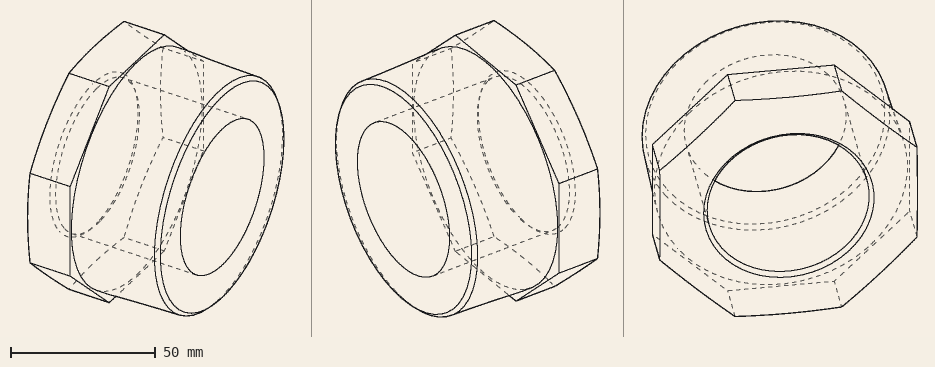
import cadquery as cq
import math

total_length = 51.5
octagon_length = 17.2
shoulder_length = 4.6

across_flats = 90.0
octagon_sides = 8
head_bevel_face_radius = 44.85
head_bevel_angle = 15.0

shoulder_radius = 88.46 / 2
taper_on_radius = 1 / 32
end_chamfer = 1.5

bore_radius = 56.66 / 2
countersink_radius = 59.6 / 2


def revolve_about_x(points):
    """Revolve a closed (x, radius) outline fully around the X axis."""
    return cq.Workplane("XY").polyline(points).close().revolve(360, (0, 0, 0), (1, 0, 0))


def octagonal_head():
    """Octagon with flats facing Y and Z, its front corners turned off by a shallow cone."""
    corner_radius = across_flats / 2 / math.cos(math.pi / octagon_sides)
    bevel_depth = (corner_radius - head_bevel_face_radius) * math.tan(math.radians(head_bevel_angle))
    octagon = (
        cq.Workplane("YZ")
        .transformed(rotate=(0, 0, 180 / octagon_sides))
        .polygon(octagon_sides, 2 * corner_radius)
        .extrude(octagon_length)
    )
    turned_envelope = revolve_about_x([
        (0, 0),
        (0, head_bevel_face_radius),
        (bevel_depth, corner_radius),
        (octagon_length, corner_radius),
        (octagon_length, 0),
    ])
    return octagon.intersect(turned_envelope)


def male_end():
    """Straight shoulder followed by the tapered thread envelope and its end chamfer."""
    taper_start = octagon_length + shoulder_length
    taper_end = total_length - end_chamfer
    taper_end_radius = shoulder_radius - (taper_end - taper_start) * taper_on_radius
    return revolve_about_x([
        (octagon_length, 0),
        (octagon_length, shoulder_radius),
        (taper_start, shoulder_radius),
        (taper_end, taper_end_radius),
        (total_length, taper_end_radius - end_chamfer),
        (total_length, 0),
    ])


def bore():
    """Through bore including the countersink at the wrench face."""
    countersink_depth = countersink_radius - bore_radius
    return revolve_about_x([
        (0, 0),
        (0, countersink_radius),
        (countersink_depth, bore_radius),
        (total_length, bore_radius),
        (total_length, 0),
    ])


result = octagonal_head().union(male_end()).cut(bore())